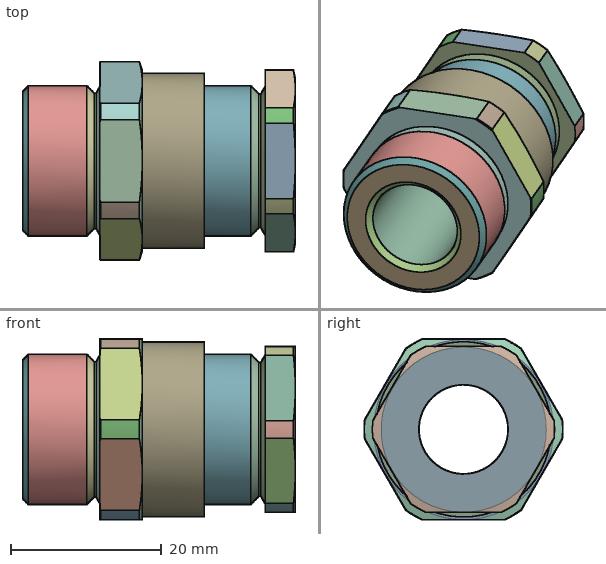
import cadquery as cq
import math

body_nut_start = 10.25
body_nut_end = 15.9
collar_end = 24.1
clamp_nut_start = 32.2
total_length = 36.2

thread_radius = 20.0 / 2
thread_chamfer = 0.75
collar_radius = 23.3 / 2
bore_radius = 11.8 / 2
bore_chamfer = 0.75

body_groove_depth = 0.98
clamp_groove_depth = 1.1
groove_floor_width = 0.25
groove_back_drop = 0.1
groove_back_angle = math.radians(60)

body_nut_flats = 24.0
body_nut_corner_radius = 26.4 / 2
body_nut_chamfer = 0.4
body_nut_edge_break = 0.1
clamp_nut_flats = 22.0
clamp_nut_corner_radius = 24.2 / 2
clamp_nut_chamfer = 0.25

chamfer_inset = 0.05


def revolve_about_x(points):
    """Solid of revolution about X from (x, radius) points."""
    return cq.Workplane("XY").polyline(points).close().revolve(360, (0, 0, 0), (1, 0, 0))


def groove_points(nut_start, depth):
    """Outline of a groove with a 45 degree front flank, ending at the front face of a nut."""
    floor_radius = thread_radius - depth
    back_rise = depth - groove_back_drop
    floor_end = nut_start - back_rise / math.tan(groove_back_angle)
    floor_start = floor_end - groove_floor_width
    return [
        (floor_start - depth, thread_radius),
        (floor_start, floor_radius),
        (floor_end, floor_radius),
        (nut_start, floor_radius + back_rise),
    ]


def make_core():
    """Turned body with the thread, collar and both relief grooves."""
    return revolve_about_x(
        [
            (0, 0),
            (0, thread_radius - thread_chamfer),
            (thread_chamfer, thread_radius),
            *groove_points(body_nut_start, body_groove_depth),
            (body_nut_start, collar_radius),
            (collar_end, collar_radius),
            (collar_end, thread_radius),
            *groove_points(clamp_nut_start, clamp_groove_depth),
            (clamp_nut_start, thread_radius),
            (total_length, thread_radius),
            (total_length, 0),
        ]
    )


def make_nut(start, end, flats, corner_radius, chamfer, edge_break=0.0):
    """Hexagon with flats facing +Z and -Z, trimmed by a turned, chamfered blank."""
    corner_diameter = flats / math.cos(math.pi / 6)
    hexagon = (
        cq.Workplane("YZ", origin=(start, 0, 0))
        .polygon(6, corner_diameter)
        .extrude(end - start)
    )
    front_corner = [(start, corner_radius - edge_break)]
    if edge_break > 0:
        front_corner.append((start + edge_break, corner_radius))
    blank = revolve_about_x(
        [
            (start, 0),
            *front_corner,
            (end - chamfer, corner_radius),
            (end, flats / 2 - chamfer_inset),
            (end, 0),
        ]
    )
    return hexagon.intersect(blank)


def make_bore():
    """Through bore, countersunk at the threaded end."""
    return revolve_about_x(
        [
            (0, 0),
            (0, bore_radius + bore_chamfer),
            (bore_chamfer, bore_radius),
            (total_length, bore_radius),
            (total_length, 0),
        ]
    )


body_nut = make_nut(
    body_nut_start,
    body_nut_end,
    body_nut_flats,
    body_nut_corner_radius,
    body_nut_chamfer,
    body_nut_edge_break,
)
clamp_nut = make_nut(
    clamp_nut_start,
    total_length,
    clamp_nut_flats,
    clamp_nut_corner_radius,
    clamp_nut_chamfer,
)

result = make_core().union(body_nut).union(clamp_nut).cut(make_bore())